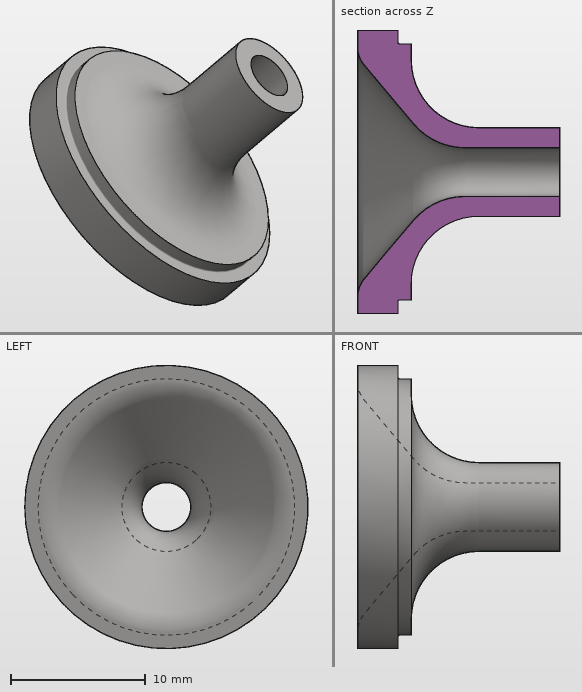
import cadquery as cq
import math

length = 15.0
flange_radius = 10.5
flange_thickness = 3.0
step_radius = 19.0 / 2
step_end = 4.0
step_root_fillet = 0.1
shank_radius = 6.6 / 2
neck_radius = 5.0

bore_radius = 3.6 / 2
mouth_radius = 9.25
rim_round = 2.0
throat_round = 5.0
cone_half_angle = math.radians(50)


def arc_point(center, radius, angle):
    """Point on a circle in the (axial, radial) half plane."""
    return (center[0] + radius * math.cos(angle), center[1] + radius * math.sin(angle))


def outer_profile():
    """Half section from the mouth centre, over the outside, to the far end on the axis."""
    root_center = (flange_thickness + step_root_fillet, step_radius + step_root_fillet)
    neck_center = (step_end + neck_radius, shank_radius + neck_radius)
    middle = math.radians(225)
    return (
        cq.Workplane("XY")
        .lineTo(0, flange_radius)
        .lineTo(flange_thickness, flange_radius)
        .lineTo(flange_thickness, root_center[1])
        .threePointArc(arc_point(root_center, step_root_fillet, middle), (root_center[0], step_radius))
        .lineTo(step_end, step_radius)
        .lineTo(step_end, neck_center[1])
        .threePointArc(arc_point(neck_center, neck_radius, middle), (neck_center[0], shank_radius))
        .lineTo(length, shank_radius)
        .lineTo(length, 0)
        .close()
    )


def funnel_profile():
    """Half section of the hollow; both rounds run tangent into the straight cone."""
    cone_normal = -math.pi / 2 - cone_half_angle
    rim_center = (rim_round, mouth_radius)
    cone_start = arc_point(rim_center, rim_round, cone_normal)

    throat_height = bore_radius + throat_round
    cone_end_radius = throat_height + throat_round * math.sin(cone_normal)
    cone_length = (cone_start[1] - cone_end_radius) / math.tan(cone_half_angle)
    cone_end = (cone_start[0] + cone_length, cone_end_radius)
    throat_center = (cone_end[0] - throat_round * math.cos(cone_normal), throat_height)

    rim_middle = (-math.pi + cone_normal) / 2
    throat_middle = (cone_normal - math.pi / 2) / 2
    return (
        cq.Workplane("XY")
        .lineTo(0, mouth_radius)
        .threePointArc(arc_point(rim_center, rim_round, rim_middle), cone_start)
        .lineTo(*cone_end)
        .threePointArc(
            arc_point(throat_center, throat_round, throat_middle),
            (throat_center[0], bore_radius),
        )
        .lineTo(length, bore_radius)
        .lineTo(length, 0)
        .close()
    )


def turned(profile):
    """Full turn of a half section about the X axis."""
    return profile.revolve(360, (0, 0, 0), (1, 0, 0))


result = turned(outer_profile()).cut(turned(funnel_profile()))